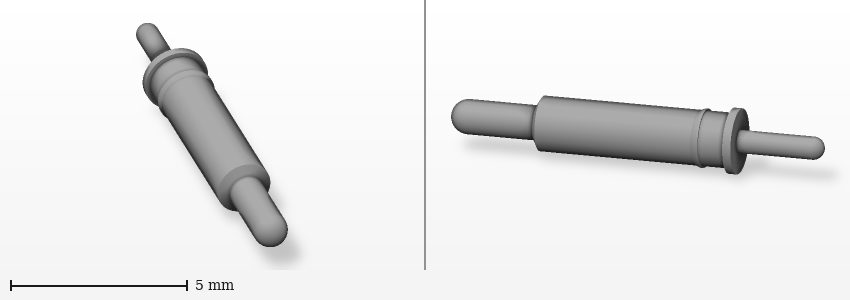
import cadquery as cq

total_length = 11.0

tail_diameter = 0.66
flange_diameter = 1.88
barrel_diameter = 1.58
ring_diameter = 1.69
plunger_diameter = 1.0

flange_start = 2.5
flange_end = 2.74
ring_start = 3.5
ring_taper_start = 3.56
ring_end = 3.7
barrel_taper_start = 8.33
barrel_end = 8.5

tail_cap_height = 0.29
plunger_cap_height = plunger_diameter / 2


def cylinder(start, end, diameter):
    """Solid cylinder along X."""
    return cq.Workplane("YZ", origin=(start, 0, 0)).circle(diameter / 2).extrude(end - start)


def cone(start, end, start_diameter, end_diameter):
    """Solid truncated cone along X."""
    return cq.Workplane(
        cq.Solid.makeCone(
            start_diameter / 2, end_diameter / 2, end - start, cq.Vector(start, 0, 0), cq.Vector(1, 0, 0)
        )
    )


def round_ended_pin(flat_end, cap_base, tip, diameter):
    """Cylinder along X from flat_end to cap_base, closed by a spherical cap reaching tip."""
    radius = diameter / 2
    cap_height = abs(tip - cap_base)
    sphere_radius = (radius**2 + cap_height**2) / (2 * cap_height)
    direction = 1 if tip > cap_base else -1
    sphere_center = tip - direction * sphere_radius
    mid_x = (tip + cap_base - 2 * sphere_center) / 2
    mid_y = radius / 2
    reach = sphere_radius / (mid_x**2 + mid_y**2) ** 0.5
    return (
        cq.Workplane("XY")
        .moveTo(flat_end, 0)
        .lineTo(flat_end, radius)
        .lineTo(cap_base, radius)
        .threePointArc((sphere_center + mid_x * reach, mid_y * reach), (tip, 0))
        .close()
        .revolve(360, (0, 0, 0), (1, 0, 0))
    )


tail = round_ended_pin(flange_start, tail_cap_height, 0, tail_diameter)
flange = cylinder(flange_start, flange_end, flange_diameter)

barrel = cylinder(flange_end, barrel_taper_start, barrel_diameter)
barrel_taper = cone(barrel_taper_start, barrel_end, barrel_diameter, plunger_diameter)

ring = cylinder(ring_start, ring_taper_start, ring_diameter)
ring_taper = cone(ring_taper_start, ring_end, ring_diameter, barrel_diameter)

plunger = round_ended_pin(barrel_end, total_length - plunger_cap_height, total_length, plunger_diameter)

result = tail.union(flange).union(barrel).union(barrel_taper).union(ring).union(ring_taper).union(plunger)